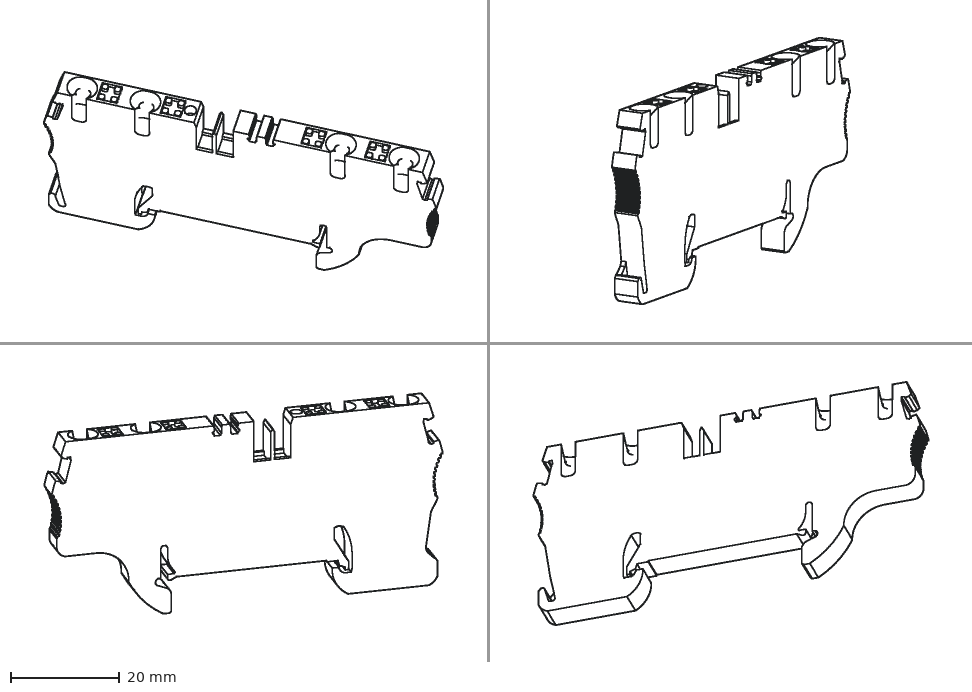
import cadquery as cq
import math

length = 74.75
thickness = 5.0
height = 36.0

grip_count = 10
grip_top = 25.7
grip_bottom = 17.05
grip_pitch = (grip_top - grip_bottom) / grip_count
grip_radius = 10.25
grip_valley_x = 35.6
grip_valley_z = 20.3
grip_depth = 0.3
trough_share = 0.4
flank_share = 0.2

slot_left = -8.3
slot_right = -1.3
slot_floor = 28.1
slot_bevel_width = 0.45
slot_bevel_height = 1.35
blade_x = -4.85
blade_thickness = 0.75
blade_shoulder = 33.55
blade_tip = 34.2
floor_pocket_front = 0.6
floor_pocket_back = 4.1
floor_pocket_depth = 0.75

groove_rib_x = 4.0
groove_inner = 0.9
groove_outer = 2.25
groove_nick = 2.6
groove_depth = 2.0
nick_height = 0.6
nick_half_width = 0.4
lip_round_depth = 0.45
lip_round_width = 0.15
groove_corner_depth = 0.45
groove_corner_width = 0.2

entry_places = [-30.65, -18.6, 18.6, 30.65]
funnel_y = 2.3
entry_flat = 0.8
funnel_top_radius = 2.4
funnel_depth = 2.5
pocket_width = 2.8
pocket_back = 3.95
pocket_floor = 28.8
pocket_corner = (pocket_width - entry_flat) / 2

recess_places = [-25.5, -13.4, 13.4, 25.5]
recess_size = 3.8
recess_depth = 0.75
post_size = 1.1
post_gap = 0.15
post_rounding = 0.4

pin_hole_x = -10.1
pin_hole_diameter = 2.2
pin_hole_depth = 2.25

web_thickness = 1.05
middle_y = thickness / 2


def grip_root(z):
    """Distance from the middle plane to the grip arc at height z."""
    return grip_valley_x + grip_radius - math.sqrt(grip_radius**2 - (z - grip_valley_z) ** 2)


def end_profile(side):
    """Points down one end, from the top corner to the last grip; side is -1 (left) or 1 (right)."""
    points = [
        (34.75, height),
        (35.65, 33.2),
        (35.2, 32.8),
        (34.45, 32.6),
        (34.4, 32.8),
        (33.8, 32.9),
        (33.7, 32.3),
        (34.75, 28.0),
        (35.2, 27.8),
        (35.65, 27.95),
        (35.65, 28.25),
        (36.6, 28.5),
        (36.85, 28.0),
        (length / 2, 26.0),
        (length / 2, grip_top),
        (grip_root(grip_top), grip_top),
    ]
    for step in range(1, grip_count + 1):
        z = grip_top - step * grip_pitch
        trough_end = z + (1 - trough_share) * grip_pitch
        flank_end = trough_end - flank_share * grip_pitch
        points.append((grip_root(trough_end), trough_end))
        points.append((grip_root(flank_end) + grip_depth, flank_end))
        points.append((grip_root(z) + grip_depth, z))
        if step < grip_count:
            points.append((grip_root(z), z))
    return [(side * x, z) for x, z in points]


def make_body():
    """Full-thickness plate with both rail feet and the foot cut-outs."""
    left_down = end_profile(-1)
    right_up = end_profile(1)[::-1]
    outline = (
        cq.Workplane("XZ")
        .polyline(left_down)
        .lineTo(-36.1, 16.3)
        .lineTo(-35.4, 15.1)
        .lineTo(-35.1, 14.4)
        .lineTo(-34.15, 7.5)
        .lineTo(-33.2, 2.55)
        .threePointArc((-33.3, 2.2), (-33.6, 2.0))
        .lineTo(-34.1, 2.0)
        .threePointArc((-34.4, 2.2), (-34.5, 2.5))
        .lineTo(-35.1, 4.6)
        .threePointArc((-35.5, 5.2), (-36.0, 5.15))
        .lineTo(-36.4, 4.6)
        .lineTo(-36.4, 1.7)
        .threePointArc((-35.8, 0.75), (-34.7, 0))
        .lineTo(-19.3, 0)
        .threePointArc((-17.05, 2.2), (-16.2, 5.45))
        .lineTo(-17.6, 5.45)
        .threePointArc((-18.0, 4.55), (-18.7, 4.25))
        .lineTo(-19.9, 4.25)
        .lineTo(-20.0, 5.0)
        .lineTo(-20.0, 8.0)
        .threePointArc((-19.5, 11.1), (-18.45, 13.3))
        .threePointArc((-17.6, 13.6), (-16.7, 13.3))
        .lineTo(-16.7, 11.05)
        .lineTo(-19.35, 6.5)
        .lineTo(-19.35, 4.85)
        .lineTo(-18.75, 4.8)
        .lineTo(-18.7, 5.4)
        .lineTo(-17.65, 5.75)
        .lineTo(-17.35, 6.8)
        .lineTo(-15.2, 6.8)
        .lineTo(-15.2, 7.0)
        .lineTo(13.5, 7.0)
        .lineTo(14.6, 6.5)
        .threePointArc((15.1, 6.6), (15.25, 6.9))
        .lineTo(15.25, 7.7)
        .lineTo(14.0, 7.7)
        .lineTo(13.8, 8.0)
        .threePointArc((14.8, 9.4), (15.25, 11.2))
        .lineTo(15.25, 12.8)
        .threePointArc((15.85, 13.45), (16.5, 12.8))
        .lineTo(16.5, 7.0)
        .lineTo(17.05, 7.0)
        .threePointArc((17.6, 6.35), (17.1, 5.7))
        .lineTo(15.25, 4.9)
        .threePointArc((14.7, 4.4), (14.5, 3.65))
        .lineTo(14.5, 0.4)
        .lineTo(14.9, 0)
        .lineTo(16.1, 0)
        .threePointArc((20.0, 3.15), (22.65, 6.95))
        .threePointArc((25.0, 12.0), (28.7, 13.4))
        .lineTo(34.8, 13.4)
        .threePointArc((36.1, 14.3), (36.4, 15.6))
        .polyline(right_up, includeCurrent=True)
        .close()
    )
    return outline.extrude(-thickness)


def cut_through(points):
    """Prism through the full thickness over an XZ outline."""
    return cq.Workplane("XZ").polyline(points).close().extrude(-thickness)


def make_foot_web():
    """Thin web at the back that closes the slit of the left foot."""
    web = cq.Workplane("XZ", origin=(0, thickness, 0)).polyline(
        [(-34.15, 7.5), (-34.45, 6.6), (-35.8, 5.2), (-34.5, 2.0), (-33.3, 2.0), (-33.1, 2.55)]
    )
    return web.close().extrude(web_thickness)


def make_blade_slot():
    """Slot with a bevelled left lip and a shallow pocket in its floor."""
    slot = cut_through([
        (slot_left - slot_bevel_width, height),
        (slot_left, height - slot_bevel_height),
        (slot_left, slot_floor),
        (slot_right, slot_floor),
        (slot_right, height),
    ])
    pocket = cq.Workplane("XY").box(
        slot_right - slot_left,
        floor_pocket_back - floor_pocket_front,
        floor_pocket_depth,
        centered=False,
    )
    return slot.union(pocket.translate((slot_left, floor_pocket_front, slot_floor - floor_pocket_depth)))


def make_blade():
    """Upright blade with a pointed tip, rooted below the pocket floor."""
    half = blade_thickness / 2
    root = slot_floor - floor_pocket_depth
    return cut_through([
        (blade_x - half, root),
        (blade_x - half, blade_shoulder),
        (blade_x, blade_tip),
        (blade_x + half, blade_shoulder),
        (blade_x + half, root),
    ])


def make_top_groove(side):
    """One top groove with a nick in its outer wall; side picks left (-1) or right (1) of the rib."""
    floor = height - groove_depth
    nick_z = floor + nick_height
    points = [
        (groove_inner - lip_round_width, height),
        (groove_inner, height - lip_round_depth),
        (groove_inner, floor + groove_corner_depth),
        (groove_inner + groove_corner_width, floor),
        (groove_outer, floor),
        (groove_outer, nick_z - nick_half_width),
        (groove_nick, nick_z),
        (groove_outer, nick_z + nick_half_width),
        (groove_outer, height - lip_round_depth),
        (groove_outer + lip_round_width, height),
    ]
    return cut_through([(groove_rib_x + side * x, z) for x, z in points])


def make_wire_entry(x):
    """Oval funnel tapering into a round-bottomed pocket that opens through the front face."""
    funnel = (
        cq.Workplane("XY", origin=(x, funnel_y, height))
        .slot2D(entry_flat + 2 * funnel_top_radius, 2 * funnel_top_radius)
        .workplane(offset=-funnel_depth)
        .center(0, pocket_back - pocket_corner - funnel_y)
        .slot2D(pocket_width, 2 * pocket_corner)
        .loft(combine=True)
    )
    block = cq.Workplane("XY", origin=(x, pocket_back / 2, pocket_floor)).box(
        pocket_width, pocket_back, height - funnel_depth - pocket_floor, centered=(True, True, False)
    )
    round_backed = block.edges("|Z and >Y").fillet(pocket_corner)
    round_bottomed = block.edges("|Y and <Z").fillet(pocket_corner)
    pocket = round_backed.intersect(round_bottomed)
    front_opening = cq.Workplane("XY", origin=(x, funnel_y / 2, height - funnel_depth)).box(
        pocket_width, funnel_y, funnel_depth, centered=(True, True, False)
    )
    return funnel.union(pocket).union(front_opening)


def make_test_recess(x):
    """Square recess that leaves a rounded post standing in each of its corners."""
    floor = height - recess_depth
    recess = cq.Workplane("XY", origin=(x, middle_y, floor)).rect(recess_size, recess_size)
    recess = recess.extrude(recess_depth)
    post_spacing = recess_size - 2 * post_gap - post_size
    posts = (
        cq.Workplane("XY", origin=(x, middle_y, floor))
        .rect(post_spacing, post_spacing, forConstruction=True)
        .vertices()
        .rect(post_size, post_size)
        .extrude(recess_depth)
        .edges("|Z")
        .fillet(post_rounding)
    )
    return recess.cut(posts)


result = make_body().union(make_foot_web())
result = result.cut(make_blade_slot()).union(make_blade())
for side in (-1, 1):
    result = result.cut(make_top_groove(side))
for x in entry_places:
    result = result.cut(make_wire_entry(x))
for x in recess_places:
    result = result.cut(make_test_recess(x))
pin_hole = cq.Workplane("XY", origin=(pin_hole_x, middle_y, height)).circle(pin_hole_diameter / 2)
result = result.cut(pin_hole.extrude(-pin_hole_depth))